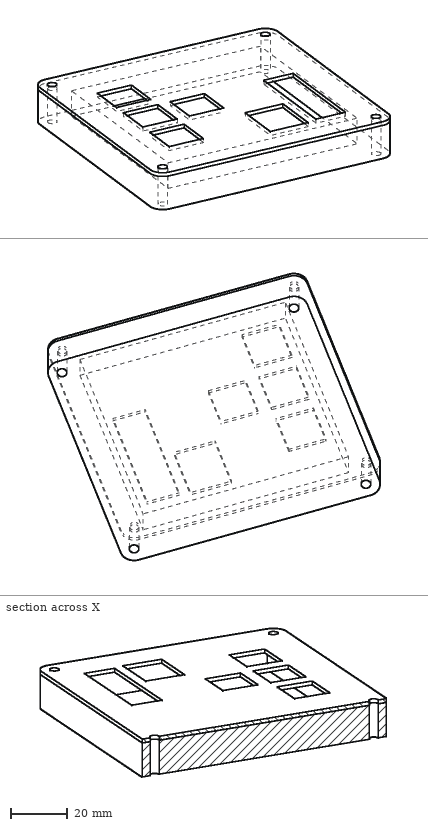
import cadquery as cq

width = 90.2
length = 97.1
total_height = 14.5
corner_radius = 5.0

plate_thickness = 1.5
housing_height = total_height - plate_thickness
floor_thickness = 3.0
wall_thickness = 10.0

screw_diameter = 3.4
screw_spacing_x = width - 2 * corner_radius
screw_spacing_y = length - 2 * corner_radius

display_width = 37.9
display_height = 12.0
display_center = (12.6, 29.8)

encoder_width = 18.25
encoder_height = 15.4
encoder_center = (23.6, 12.2)

key_size = 14.0
key_pitch = 19.0
key_column_x = 0.2
key_row_y = -26.1
key_centers = [(key_column_x + step * key_pitch, key_row_y) for step in (-1, 0, 1)]
key_centers.append((key_column_x, key_row_y + key_pitch))


def rounded_slab(thickness, bottom_z):
    """Slab with the common outline, rounded corners and four screw holes."""
    return (
        cq.Workplane("XY", origin=(0, 0, bottom_z))
        .rect(width, length)
        .extrude(thickness)
        .edges("|Z")
        .fillet(corner_radius)
        .faces(">Z")
        .workplane(origin=(0, 0, 0))
        .rect(screw_spacing_x, screw_spacing_y, forConstruction=True)
        .vertices()
        .hole(screw_diameter)
    )


def make_housing():
    """Open-topped tray with one rectangular cavity."""
    cavity = (
        cq.Workplane("XY", origin=(0, 0, floor_thickness))
        .rect(width - 2 * wall_thickness, length - 2 * wall_thickness)
        .extrude(housing_height - floor_thickness)
    )
    return rounded_slab(housing_height, 0).cut(cavity)


def window_cutter(centers, size_x, size_y):
    """Rectangular prisms passing through the cover plate."""
    return (
        cq.Workplane("XY", origin=(0, 0, housing_height))
        .pushPoints(centers)
        .rect(size_x, size_y)
        .extrude(plate_thickness)
    )


def make_cover_plate():
    """Flat lid with display, encoder and key windows."""
    return (
        rounded_slab(plate_thickness, housing_height)
        .cut(window_cutter([display_center], display_width, display_height))
        .cut(window_cutter([encoder_center], encoder_width, encoder_height))
        .cut(window_cutter(key_centers, key_size, key_size))
    )


housing = make_housing()
cover_plate = make_cover_plate()

result = cq.Compound.makeCompound([housing.solids().val(), cover_plate.solids().val()])